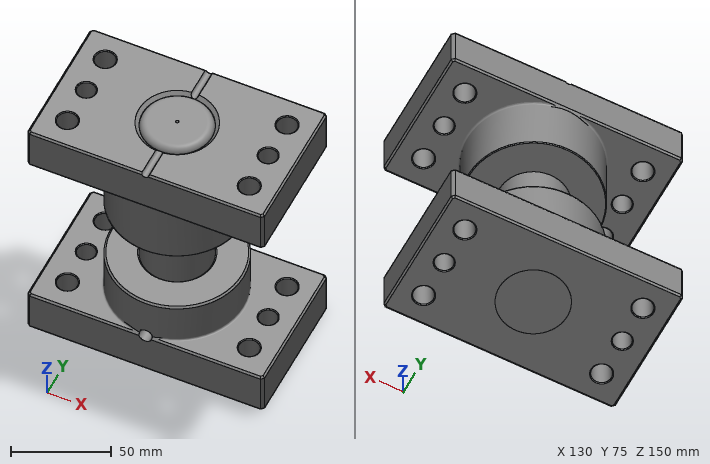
import cadquery as cq
import math

plate_length = 130.0
plate_width = 75.0
plate_thickness = 25.0
corner_chamfer = 1.5
edge_chamfer = 1.0

collar_radius = 36.5
foot_radius = 1.0
base_collar_height = 25.0
base_collar_chamfer = 1.0
head_collar_height = 35.0
head_collar_chamfer = 0.5

pin_radius = 19.0
pin_length = 150.0
pin_protrusion = 0.8
pin_nose_radius = 4.0
centre_mark_radius = 0.8

base_bore_chamfer = 0.75
head_bore_chamfer = 2.0

hole_row_x = 50.0
screw_hole_y = 22.0
screw_hole_diameter = 11.0
dowel_hole_diameter = 10.0
hole_chamfer = 0.5

side_hole_diameter = 7.0
groove_radius = 2.0

head_top = pin_length - pin_protrusion


def make_collar_foot():
    """Concave ring around the collar root, ending at the chamfered long edges of the plate."""
    arc_centre_r = collar_radius + foot_radius
    arc_centre_z = plate_thickness + foot_radius
    arc_offset = foot_radius * math.sqrt(0.5)
    inner_r = collar_radius - foot_radius
    ring = (
        cq.Workplane("XZ")
        .moveTo(inner_r, plate_thickness)
        .lineTo(arc_centre_r, plate_thickness)
        .threePointArc((arc_centre_r - arc_offset, arc_centre_z - arc_offset), (collar_radius, arc_centre_z))
        .lineTo(inner_r, arc_centre_z)
        .close()
        .revolve(360, (0, 0, 0), (0, 1, 0))
    )
    flat_half_width = plate_width / 2 - edge_chamfer
    trim = (
        cq.Workplane("YZ")
        .moveTo(-flat_half_width, plate_thickness)
        .lineTo(flat_half_width, plate_thickness)
        .lineTo(flat_half_width - foot_radius, arc_centre_z)
        .lineTo(-flat_half_width + foot_radius, arc_centre_z)
        .close()
        .extrude(plate_length / 2, both=True)
    )
    return ring.intersect(trim)


def make_collared_plate(collar_height, collar_chamfer):
    """Plate lying on z = 0 with its collar pointing up, before any holes are cut."""
    plate = (
        cq.Workplane("XY")
        .box(plate_length, plate_width, plate_thickness, centered=(True, True, False))
        .edges("|Z")
        .chamfer(corner_chamfer)
        .faces("<Z or >Z")
        .chamfer(edge_chamfer)
    )
    collar = (
        cq.Workplane("XY")
        .workplane(offset=plate_thickness / 2)
        .circle(collar_radius)
        .extrude(plate_thickness / 2 + collar_height)
        .faces(">Z")
        .chamfer(collar_chamfer)
    )
    return plate.union(collar).union(make_collar_foot())


def make_chamfered_hole(x, y, diameter):
    """Cutter for a through hole in a plate on z = 0, countersunk at both faces."""
    wide = diameter / 2 + hole_chamfer
    narrow = diameter / 2
    return (
        cq.Workplane("XZ")
        .polyline([
            (0, 0),
            (wide, 0),
            (narrow, hole_chamfer),
            (narrow, plate_thickness - hole_chamfer),
            (wide, plate_thickness),
            (0, plate_thickness),
        ])
        .close()
        .revolve(360, (0, 0, 0), (0, 1, 0))
        .translate((x, y, 0))
    )


def cut_fastener_holes(plate):
    for x in (-hole_row_x, hole_row_x):
        plate = plate.cut(make_chamfered_hole(x, 0, dowel_hole_diameter))
        for y in (-screw_hole_y, screw_hole_y):
            plate = plate.cut(make_chamfered_hole(x, y, screw_hole_diameter))
    return plate


def make_bore(height, mouth_chamfer):
    """Cutter for the pin bore from z = 0, flared at its upper mouth."""
    return (
        cq.Workplane("XZ")
        .polyline([
            (0, 0),
            (pin_radius, 0),
            (pin_radius, height - mouth_chamfer),
            (pin_radius + mouth_chamfer, height),
            (0, height),
        ])
        .close()
        .revolve(360, (0, 0, 0), (0, 1, 0))
    )


def make_base():
    """Lower plate and collar, with a side hole reaching the pin at the collar root."""
    base = cut_fastener_holes(make_collared_plate(base_collar_height, base_collar_chamfer))
    side_hole = (
        cq.Workplane("XZ")
        .center(0, plate_thickness)
        .circle(side_hole_diameter / 2)
        .extrude(plate_width)
    )
    bore = make_bore(plate_thickness + base_collar_height, base_bore_chamfer)
    return base.cut(side_hole).cut(bore)


def make_head():
    """Upper plate with its collar hanging down and an oil groove across the top face."""
    head = cut_fastener_holes(make_collared_plate(head_collar_height, head_collar_chamfer))
    head = head.rotate((0, 0, 0), (1, 0, 0), 180).translate((0, 0, head_top))
    groove = (
        cq.Workplane("XZ")
        .center(0, head_top)
        .circle(groove_radius)
        .extrude(plate_width, both=True)
    )
    return head.cut(groove).cut(make_bore(head_top, head_bore_chamfer))


def make_pin():
    """Guide pin with a rounded nose and a small conical centre mark."""
    pin = (
        cq.Workplane("XY")
        .circle(pin_radius)
        .extrude(pin_length)
        .faces(">Z")
        .edges()
        .fillet(pin_nose_radius)
    )
    centre_mark = (
        cq.Workplane("XZ")
        .polyline([
            (0, pin_length - centre_mark_radius),
            (centre_mark_radius, pin_length),
            (0, pin_length),
        ])
        .close()
        .revolve(360, (0, 0, 0), (0, 1, 0))
    )
    return pin.cut(centre_mark)


base = make_base()
head = make_head()
pin = make_pin()

result = cq.Compound.makeCompound([base.val(), head.val(), pin.val()])